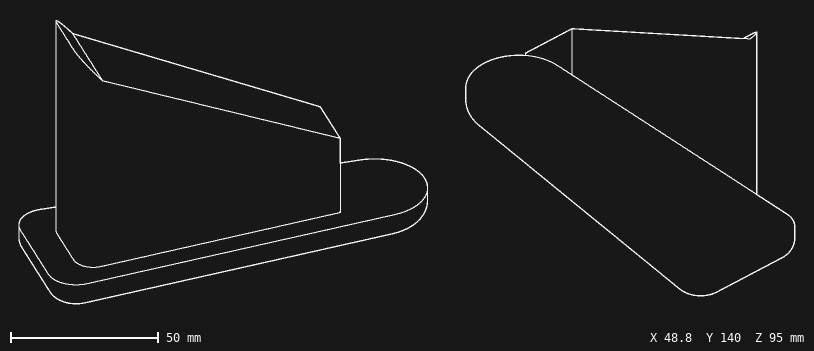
import cadquery as cq
import math

plate_length = 140.0
plate_thickness = 10.0
plate_front_width = 50.0
plate_back_radius = 18.0
plate_corner_radius = 10.0
plate_bottom_fillet = 5.0

wedge_offset_x = 0.3
wedge_front_y = 11.0
wedge_length = 95.0
wedge_front_width = 32.0
wedge_back_width = 20.8
wedge_corner_radius = 7.0
wedge_back_height = 30.0
wedge_break_height = 75.0
wedge_front_height = 85.0
wedge_break_setback = 8.0

wedge_back_y = wedge_front_y + wedge_length
wedge_break_y = wedge_front_y + wedge_break_setback


def make_plate():
    """Plate whose straight sides run tangent into the round back end."""
    half_front = plate_front_width / 2
    arc_center_y = plate_length - plate_back_radius
    center_distance = math.hypot(half_front, arc_center_y)
    side_taper = math.atan2(half_front, arc_center_y) - math.asin(plate_back_radius / center_distance)
    tangent_x = plate_back_radius * math.cos(side_taper)
    tangent_y = arc_center_y + plate_back_radius * math.sin(side_taper)

    plate = (
        cq.Workplane("XY")
        .moveTo(-half_front, 0)
        .lineTo(half_front, 0)
        .lineTo(tangent_x, tangent_y)
        .threePointArc((0, plate_length), (-tangent_x, tangent_y))
        .close()
        .extrude(plate_thickness)
    )
    plate = plate.edges("|Z and <Y").fillet(plate_corner_radius)
    return plate.faces("<Z").edges().fillet(plate_bottom_fillet)


def make_wedge():
    """Tapered block with rounded front corners, cut to a two-slope top."""
    half_front = wedge_front_width / 2
    half_back = wedge_back_width / 2
    wedge_origin = (wedge_offset_x, 0, plate_thickness)
    block = (
        cq.Workplane("XY", origin=wedge_origin)
        .moveTo(-half_front, wedge_front_y)
        .lineTo(half_front, wedge_front_y)
        .lineTo(half_back, wedge_back_y)
        .lineTo(-half_back, wedge_back_y)
        .close()
        .extrude(wedge_front_height)
        .edges("|Z and <Y")
        .fillet(wedge_corner_radius)
    )
    side_profile = (
        cq.Workplane("YZ", origin=wedge_origin)
        .moveTo(wedge_front_y, 0)
        .lineTo(wedge_back_y, 0)
        .lineTo(wedge_back_y, wedge_back_height)
        .lineTo(wedge_break_y, wedge_break_height)
        .lineTo(wedge_front_y, wedge_front_height)
        .close()
        .extrude(half_front, both=True)
    )
    return block.intersect(side_profile)


result = make_plate().union(make_wedge())